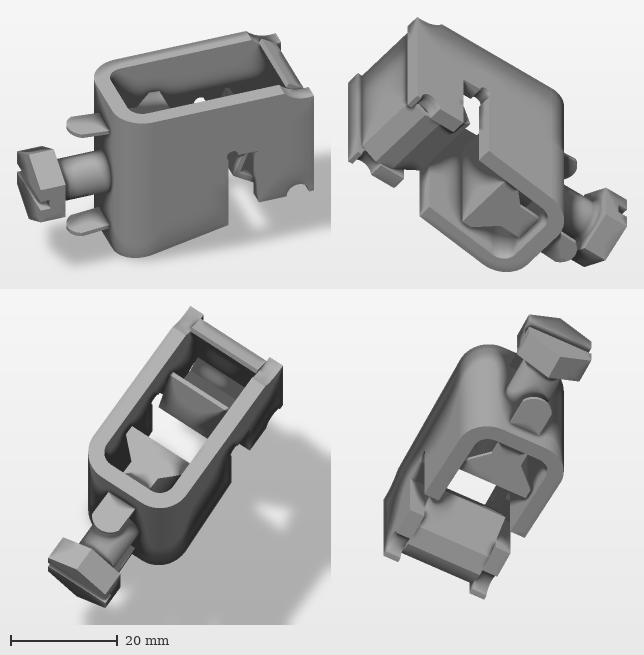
import cadquery as cq
import math


housing_width = 21.0
wall = 3.0
outer_radius = 6.0
inner_radius = outer_radius - wall
housing_depth = 38.0
housing_top = 17.0
front_bottom = housing_top - 32.0
inner_width = housing_width - 2 * wall

slot_front = 21.0
slot_rear = 27.05
slot_top = 5.1
rear_leg_bottom = -7.0
slope_end_z = -10.7
relief_radius = 1.15
relief_y = 21.8

top_notch_radius = 6.4
top_notch_y = 36.85
top_notch_floor = 14.95
bottom_notch_radius = 2.2
bottom_notch_y = 34.75

spring_thickness = 1.0
spring_outer_path = [
    (34.1, 16.85),
    (37.05, 14.95),
    (37.05, -4.75),
    (33.75, -6.85),
    (29.85, -6.2),
    (23.0, -1.9),
    (26.8, 7.25),
]

shaft_radius = 8.0 / 2
neck_fillet = 1.0
head_flats = 13.0
head_height = 5.0
head_end = housing_depth - 53
head_base = head_end + head_height
driver_slot = 2.0

plate_thickness = 0.8
plate_width = 14.0
plate_rear = 13.55
plate_half_height = 10.2
shoulder_length = 2.0
arm_width = 6.0
arm_end = -7.3
arm_round_start = -5.45
arm_slope = math.radians(5)


def bent_strip(path, thickness, width):
    """Extrude a strip across X; `path` lists (Y, Z) bends, with the material to the right of travel (Z up)."""
    directions = [math.atan2(z1 - z0, y1 - y0) for (y0, z0), (y1, z1) in zip(path, path[1:])]
    before = directions[:1] + directions
    after = directions + directions[-1:]
    inner_path = []
    for (y, z), first, second in zip(path, before, after):
        turn = math.remainder(second - first, 2 * math.pi)
        bisector = first + turn / 2
        mitre = thickness / math.cos(turn / 2)
        inner_path.append((y + mitre * math.sin(bisector), z - mitre * math.cos(bisector)))
    outline = cq.Workplane("YZ").polyline(path + inner_path[::-1]).close()
    return outline.extrude(width / 2, both=True)


def cross_cylinder(y, z, radius):
    """Cylinder along X that passes through both side walls."""
    return cq.Workplane("YZ").center(y, z).circle(radius).extrude(housing_width, both=True)


def rounded_front_block(width, front, radius):
    """Tall block from `front` to the rear of the housing, with its two front corners rounded."""
    block = cq.Workplane("XY").box(
        width, housing_depth - front, 2 * housing_depth, centered=(True, False, True)
    )
    return block.translate((0, front, 0)).edges("|Z and <Y").fillet(radius)


def make_housing():
    side_outline = [
        (0, front_bottom),
        (slot_front, slope_end_z),
        (slot_front, slot_top),
        (slot_rear, slot_top),
        (slot_rear, rear_leg_bottom),
        (housing_depth, rear_leg_bottom),
        (housing_depth, housing_top),
        (0, housing_top),
    ]
    body = cq.Workplane("YZ").polyline(side_outline).close().extrude(housing_width, both=True)
    body = body.intersect(rounded_front_block(housing_width, 0, outer_radius))
    body = body.cut(rounded_front_block(inner_width, wall, inner_radius))
    body = body.cut(cross_cylinder(relief_y, slot_top, relief_radius))
    body = body.cut(cross_cylinder(top_notch_y, top_notch_floor + top_notch_radius, top_notch_radius))
    return body.cut(cross_cylinder(bottom_notch_y, rear_leg_bottom, bottom_notch_radius))


def make_pressure_piece():
    arm_reach = plate_rear - arm_end + plate_thickness
    tip_half_height = plate_half_height + arm_reach * math.tan(arm_slope)
    path = [
        (plate_rear - arm_reach, tip_half_height),
        (plate_rear, plate_half_height),
        (plate_rear, -plate_half_height),
        (plate_rear - arm_reach, -tip_half_height),
    ]
    bent_plate = bent_strip(path, plate_thickness, plate_width)

    half_plate = plate_width / 2
    half_arm = arm_width / 2
    shoulder_y = plate_rear - shoulder_length
    arm_root_y = shoulder_y - (half_plate - half_arm)
    plan = (
        cq.Workplane("XY")
        .moveTo(-half_plate, plate_rear)
        .lineTo(-half_plate, shoulder_y)
        .lineTo(-half_arm, arm_root_y)
        .lineTo(-half_arm, arm_round_start)
        .threePointArc((0, arm_end), (half_arm, arm_round_start))
        .lineTo(half_arm, arm_root_y)
        .lineTo(half_plate, shoulder_y)
        .lineTo(half_plate, plate_rear)
        .close()
        .extrude(2 * plate_half_height, both=True)
    )
    return bent_plate.intersect(plan)


def make_screw():
    """Screw and pressure piece as one body."""
    neck_radius = shaft_radius + neck_fillet
    neck_end = head_base + neck_fillet
    arc_offset = neck_fillet * (1 - math.sqrt(0.5))
    shaft = (
        cq.Workplane("XY")
        .moveTo(0, head_base)
        .lineTo(neck_radius, head_base)
        .threePointArc((shaft_radius + arc_offset, head_base + arc_offset), (shaft_radius, neck_end))
        .lineTo(shaft_radius, plate_rear - plate_thickness)
        .lineTo(0, plate_rear - plate_thickness)
        .close()
        .revolve(360, (0, 0), (0, 1))
    )
    head_corners = head_flats / math.cos(math.radians(30))
    head = (
        cq.Workplane("XZ", origin=(0, head_base, 0))
        .transformed(rotate=(0, 0, 90))
        .polygon(6, head_corners)
        .extrude(head_height)
    )
    slot_cutter = cq.Workplane("XY").box(head_corners, 2 * driver_slot, driver_slot)
    head = head.cut(slot_cutter.translate((0, head_end, 0)))
    return shaft.union(head).union(make_pressure_piece())


screw = make_screw()
housing = make_housing().cut(screw)
spring = bent_strip(spring_outer_path, spring_thickness, inner_width)

result = cq.Compound.makeCompound([housing.val(), spring.val(), screw.val()])